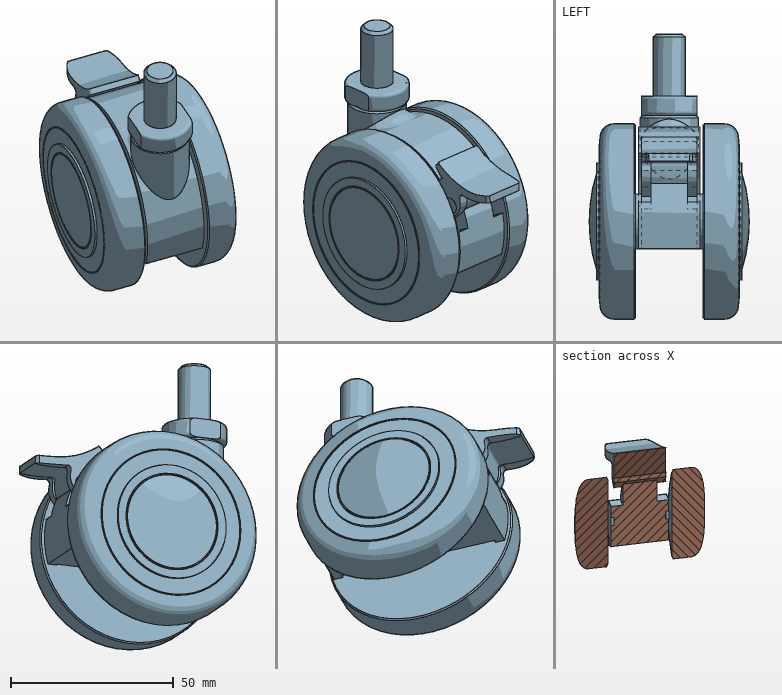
import cadquery as cq
import math


wheel_radius = 30.0
wheel_inner_y = 10.4
wheel_edge_chamfer = 0.4
tread_flat_end_y = 16.9
shoulder_end_radius = 26.6
shoulder_end_y = 21.2
side_face_radius = 23.0
side_face_y = 21.5
side_groove_width = 0.3
side_groove_depth = 0.35
cap_ring_radius = 18.0
cap_ring_y = 22.3
cap_groove_radius = 15.3
dome_radius = 14.9
cap_groove_depth = 0.4
dome_top_y = 24.6

housing_radius = 29.05
housing_half_width = 9.45
housing_bottom_z = -8.2
rim_inner_radius = 26.25
web_half_width = 8.5
hub_radius = 8.5

stem_x = 17.0
neck_radius = 9.0
neck_bottom_z = 8.75
neck_top_z = 32.55
neck_edge_chamfer = 0.8
neck_blend_radius = 3.7
blend_core_radius = 6.6
blend_core_inset = 0.1
collar_radius = 10.0
collar_height = 5.95
collar_edge_radius = 1.05
collar_half_flats = 8.6
stem_radius = 5.0
stem_top_z = 87.5 - wheel_radius
stem_chamfer = 1.0

pivot_x = -23.8
pivot_z = 13.1
pivot_radius = 2.5
leg_inner_y = 5.6
pocket_front_x = -32.4
pocket_lip = (-28.35, 6.0)
pocket_floor_rear = (-24.1, 3.85)
pocket_foot = (-22.9, 7.7)
pocket_top_inner = (-17.7, 19.8)
pocket_top_z = 21.1
tongue_top_z = 11.7
pad_front_x = -38.85
pad_front_bottom_z = 18.55
pad_underside_middle = (-34.1, 18.2)
pad_joint_z = 18.5
pad_fillet_reach = 1.0
pad_top_z = 20.9
pad_straight_x = -31.8
pad_front_half_width = 6.1
pad_corner = (-37.8, 7.1)
pad_side_middle = (-35.2, 8.05)
pad_tip_corner = 0.9
pad_front_slant = 0.3
pad_curve_start_x = -38.0
pad_curve_middle = (-28.1, 21.35)
pad_tip_top = (-18.2, 26.0)
pad_tip_bottom = (-17.0, 24.6)
pad_rear_x = -13.1
leg_bottom = (-26.1, 10.7)
leg_middle = (-28.0, 14.4)
leg_top = (-27.8, 16.7)
middle_bottom = (-26.5, 11.7)
middle_front = (-27.3, 14.9)
middle_top = (-27.2, 17.3)

pocket_top = (-math.sqrt(housing_radius**2 - pocket_top_z**2), pocket_top_z)


def prism(outline, half_width):
    """Extrude a closed XZ outline by half_width to both sides of Y = 0."""
    return outline.extrude(half_width, both=True)


def disc(radius, half_width):
    """Cylinder about the wheel axis, centred on Y = 0."""
    return prism(cq.Workplane("XZ").circle(radius), half_width)


def make_wheel(side):
    """One wheel with its domed cap; side is +1 or -1 along Y."""
    dome_drop = 2.3
    dome_edge_y = dome_top_y - dome_drop
    dome_sphere_radius = (dome_radius**2 + dome_drop**2) / (2 * dome_drop)
    dome_middle_radius = dome_radius / 2
    dome_middle_y = dome_top_y - dome_sphere_radius + math.sqrt(
        dome_sphere_radius**2 - dome_middle_radius**2
    )
    groove_floor_y = side_face_y - side_groove_depth
    cap_groove_floor_y = cap_ring_y - cap_groove_depth
    profile = (
        cq.Workplane("XY")
        .moveTo(0, wheel_inner_y)
        .lineTo(wheel_radius - wheel_edge_chamfer, wheel_inner_y)
        .lineTo(wheel_radius, wheel_inner_y + wheel_edge_chamfer)
        .lineTo(wheel_radius, tread_flat_end_y)
        .tangentArcPoint((shoulder_end_radius, shoulder_end_y), relative=False)
        .lineTo(side_face_radius + side_groove_width, side_face_y)
        .lineTo(side_face_radius + side_groove_width, groove_floor_y)
        .lineTo(side_face_radius, groove_floor_y)
        .lineTo(side_face_radius, side_face_y)
        .lineTo(cap_ring_radius, side_face_y)
        .lineTo(cap_ring_radius, cap_ring_y)
        .lineTo(cap_groove_radius, cap_ring_y)
        .lineTo(cap_groove_radius, cap_groove_floor_y)
        .lineTo(dome_radius, cap_groove_floor_y)
        .lineTo(dome_radius, dome_edge_y)
        .threePointArc((dome_middle_radius, dome_middle_y), (0, dome_top_y))
        .close()
    )
    wheel = profile.revolve(360, (0, 0, 0), (0, 1, 0))
    if side < 0:
        wheel = wheel.mirror("XZ")
    return wheel


def make_tongue():
    """Middle of the pocket's floor, which stands up between the lever's legs."""
    length = pocket_top_inner[0] - pocket_front_x
    return cq.Workplane("XY", origin=(pocket_front_x, 0, 0)).box(
        length, 2 * leg_inner_y, tongue_top_z, centered=(False, True, False)
    )


def make_lever_pocket():
    """Opening for the lever: deep at the two legs, shallower over the tongue between them."""
    outline = (
        cq.Workplane("XZ")
        .polyline(
            [
                (pocket_front_x, pocket_lip[1]),
                pocket_lip,
                pocket_floor_rear,
                pocket_foot,
                pocket_top_inner,
                pocket_top,
                (pocket_front_x, pocket_top_z),
            ]
        )
        .close()
    )
    leg_pocket = prism(outline, housing_half_width)
    return leg_pocket.cut(make_tongue())


def make_pivot():
    """Pin that carries the lever, flush with the lever's sides."""
    return prism(cq.Workplane("XZ").center(pivot_x, pivot_z).circle(pivot_radius), web_half_width)


def make_post(center_x, radius):
    """Upright cylinder from inside the housing to the neck's top, with a chamfered top edge."""
    return (
        cq.Workplane("XY", origin=(center_x, 0, neck_bottom_z))
        .circle(radius)
        .extrude(neck_top_z - neck_bottom_z)
        .faces(">Z")
        .chamfer(neck_edge_chamfer)
    )


def make_housing():
    """D-shaped housing with rim, hubs, stem neck, lever pocket and lever pivot."""
    blend_core_x = stem_x - neck_radius + blend_core_radius + blend_core_inset
    blend_core = make_post(blend_core_x, blend_core_radius)
    body = disc(housing_radius, 2 * housing_half_width).union(blend_core)
    seam = cq.selectors.BoxSelector(
        (blend_core_x - neck_radius, -neck_radius, neck_bottom_z),
        (blend_core_x + neck_radius, neck_radius, neck_top_z - 0.9),
        boundingbox=True,
    )
    body = body.edges(seam).edges("not %LINE").fillet(neck_blend_radius)
    body = body.union(make_post(stem_x, neck_radius)).clean()
    trim_height = neck_top_z - housing_bottom_z
    trim = cq.Workplane("XY", origin=(0, 0, housing_bottom_z)).box(
        3 * housing_radius, 2 * housing_half_width, trim_height, centered=(True, True, False)
    )
    body = body.intersect(trim)

    recess = disc(rim_inner_radius, housing_half_width).cut(disc(rim_inner_radius, web_half_width))
    hubs = disc(hub_radius, wheel_inner_y)
    return body.cut(recess).union(hubs).cut(make_lever_pocket()).union(make_pivot())


def make_stem():
    """Mounting stem with a collar that has two wrench flats."""
    collar = (
        cq.Workplane("XY", origin=(stem_x, 0, neck_top_z))
        .circle(collar_radius)
        .extrude(collar_height)
        .edges()
        .fillet(collar_edge_radius)
    )
    flats = cq.Workplane("XY", origin=(stem_x, 0, neck_top_z)).box(
        2 * collar_radius, 2 * collar_half_flats, collar_height, centered=(True, True, False)
    )
    stem = (
        cq.Workplane("XY", origin=(stem_x, 0, neck_top_z))
        .circle(stem_radius)
        .extrude(stem_top_z - neck_top_z)
        .faces(">Z")
        .chamfer(stem_chamfer)
    )
    return collar.intersect(flats).union(stem)


def lever_outline(front_bottom, front_middle, front_top):
    """Side outline of the lever; the three points lie on the front arc that a fillet joins to the pad."""
    pad_joint = (front_top[0] - pad_fillet_reach, pad_joint_z)
    return (
        cq.Workplane("XZ")
        .moveTo(pad_front_x, pad_front_bottom_z)
        .lineTo(pad_front_x + pad_front_slant, pad_top_z)
        .lineTo(pad_curve_start_x, pad_top_z)
        .threePointArc(pad_curve_middle, pad_tip_top)
        .lineTo(*pad_tip_bottom)
        .lineTo(*pocket_top)
        .lineTo(*pocket_top_inner)
        .lineTo(*pocket_foot)
        .lineTo(*front_bottom)
        .threePointArc(front_middle, front_top)
        .tangentArcPoint(pad_joint, relative=False)
        .threePointArc(pad_underside_middle, (pad_front_x, pad_front_bottom_z))
        .close()
    )


def make_pad_plan():
    """Block with the pad's plan shape: full width behind, narrowing to the rounded front."""
    side_x, side_y = pad_side_middle
    corner_x, corner_y = pad_corner
    return (
        cq.Workplane("XY")
        .moveTo(pad_rear_x, web_half_width)
        .lineTo(pad_straight_x, web_half_width)
        .threePointArc((side_x, side_y), (corner_x, corner_y))
        .lineTo(pad_front_x, pad_front_half_width)
        .lineTo(pad_front_x, -pad_front_half_width)
        .lineTo(corner_x, -corner_y)
        .threePointArc((side_x, -side_y), (pad_straight_x, -web_half_width))
        .lineTo(pad_rear_x, -web_half_width)
        .close()
        .extrude(neck_top_z)
    )


def make_lever():
    """Brake lever: a curved pad on two legs, joined by a set-back middle over the tongue."""
    legs = prism(lever_outline(leg_bottom, leg_middle, leg_top), web_half_width)
    middle_outline = lever_outline(middle_bottom, middle_front, middle_top)
    middle = prism(middle_outline, leg_inner_y).cut(make_tongue())
    gap_between_legs = prism(cq.Workplane("XZ").rect(4 * housing_radius, 4 * housing_radius), leg_inner_y)
    lever = legs.cut(gap_between_legs).union(middle)
    lever = lever.intersect(make_pad_plan())
    tip = cq.selectors.BoxSelector(
        (pad_tip_top[0] - 0.1, -housing_half_width, pad_tip_bottom[1] - 0.1),
        (pad_tip_bottom[0] + 0.1, housing_half_width, pad_tip_top[1] + 0.1),
        boundingbox=True,
    )
    lever = lever.edges(tip).edges("not #Z").edges("not |Y").fillet(pad_tip_corner)
    return lever.cut(make_pivot())


wheels = [make_wheel(side) for side in (1, -1)]
housing = make_housing()
stem = make_stem()
lever = make_lever()

result = cq.Compound.makeCompound([housing.val(), stem.val(), lever.val(), *[w.val() for w in wheels]])